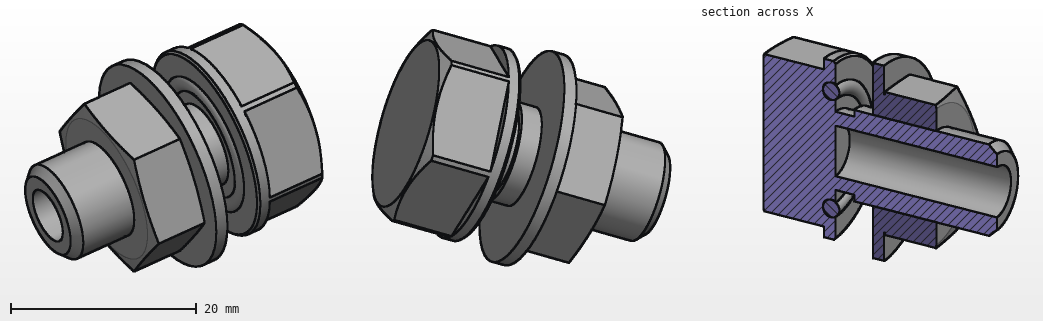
import cadquery as cq
import math

TOTAL_LENGTH = 29.0

SHANK_RADIUS = 5.55
TIP_CHAMFER_LENGTH = 1.02
TIP_RADIUS = 4.58
NECK_RADIUS = 4.75
NECK_START = 17.75
BORE_RADIUS = 3.02

FLANGE_RADIUS = 10.8
FLANGE_START = 20.0
FLANGE_THICKNESS = 1.48
FLANGE_CHAMFER = 0.25

RING_CENTRE_RADIUS = 7.08
RING_SECTION_RADIUS = 1.02
RING_PROTRUSION = 0.45
RING_CENTRE_Y = FLANGE_START + RING_SECTION_RADIUS - RING_PROTRUSION

HEAD_ACROSS_FLATS = 19.0
HEAD_TOP_RADIUS = 9.3
HEAD_CHAMFER_DROP = 0.8
HEAD_START = FLANGE_START + FLANGE_THICKNESS

NUT_ACROSS_CORNERS = 19.95
NUT_START = 7.5
NUT_HEX_THICKNESS = 6.5
NUT_FACE_RADIUS = 8.2
NUT_CHAMFER_DROP = 0.32
NUT_FLANGE_RADIUS = 11.8
NUT_FLANGE_THICKNESS = 1.42


def cylinder(radius, start, end):
    """Solid cylinder on the Y axis between two Y positions."""
    return cq.Workplane("XZ", origin=(0, start, 0)).circle(radius).extrude(start - end)


def hex_prism(across_corners, start, end):
    """Hexagonal prism on the Y axis, with corners on +X and -X."""
    return cq.Workplane("XZ", origin=(0, start, 0)).polygon(6, across_corners).extrude(start - end)


def revolve_profile(points):
    """Solid of revolution about Y from (radius, y) points."""
    return cq.Workplane("XY").polyline(points).close().revolve(360, (0, 0), (0, 1))


def make_head():
    """Hexagon with corners rounded to the flange radius and a conical top chamfer."""
    envelope = revolve_profile([
        (0, HEAD_START),
        (FLANGE_RADIUS, HEAD_START),
        (FLANGE_RADIUS, TOTAL_LENGTH - HEAD_CHAMFER_DROP),
        (HEAD_TOP_RADIUS, TOTAL_LENGTH),
        (0, TOTAL_LENGTH),
    ])
    across_corners = HEAD_ACROSS_FLATS / math.cos(math.pi / 6)
    return hex_prism(across_corners, HEAD_START, TOTAL_LENGTH).intersect(envelope)


def make_ring():
    """O-ring of circular section around the neck, which also shapes its groove."""
    return (
        cq.Workplane("XY")
        .center(RING_CENTRE_RADIUS, RING_CENTRE_Y)
        .circle(RING_SECTION_RADIUS)
        .revolve(360, (-RING_CENTRE_RADIUS, 0), (-RING_CENTRE_RADIUS, 1))
    )


def make_bolt():
    """Hollow shank with a relieved neck, flange, ring groove and hex head."""
    stem_and_flange = revolve_profile([
        (0, 0),
        (TIP_RADIUS, 0),
        (SHANK_RADIUS, TIP_CHAMFER_LENGTH),
        (SHANK_RADIUS, NECK_START),
        (NECK_RADIUS, NECK_START),
        (NECK_RADIUS, FLANGE_START),
        (FLANGE_RADIUS - FLANGE_CHAMFER, FLANGE_START),
        (FLANGE_RADIUS, FLANGE_START + FLANGE_CHAMFER),
        (FLANGE_RADIUS, HEAD_START),
        (0, HEAD_START),
    ])
    bore = cylinder(BORE_RADIUS, 0, FLANGE_START)
    return stem_and_flange.union(make_head()).cut(bore).cut(make_ring())


def make_nut():
    """Hex nut, chamfered at both ends of the hexagon, with a flange on the +Y end."""
    hex_end = NUT_START + NUT_HEX_THICKNESS
    end = hex_end + NUT_FLANGE_THICKNESS
    corner_radius = NUT_ACROSS_CORNERS / 2
    envelope = revolve_profile([
        (0, NUT_START),
        (NUT_FACE_RADIUS, NUT_START),
        (corner_radius, NUT_START + NUT_CHAMFER_DROP),
        (corner_radius, hex_end - NUT_CHAMFER_DROP),
        (NUT_FACE_RADIUS, hex_end),
        (0, hex_end),
    ])
    hexagon = hex_prism(NUT_ACROSS_CORNERS, NUT_START, hex_end).intersect(envelope)
    flange = cylinder(NUT_FLANGE_RADIUS, hex_end, end)
    return hexagon.union(flange).cut(cylinder(SHANK_RADIUS, NUT_START, end))


bolt = make_bolt()
ring = make_ring()
nut = make_nut()

result = cq.Compound.makeCompound([bolt.solids().val(), ring.solids().val(), nut.solids().val()])